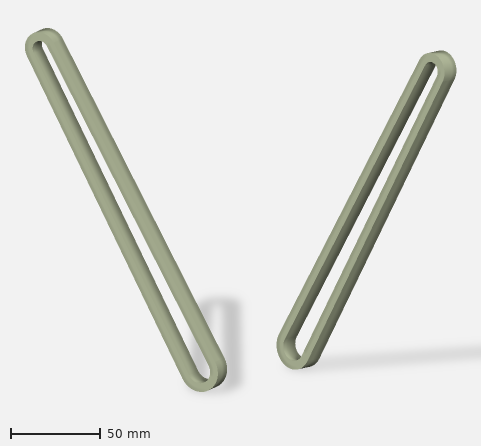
import cadquery as cq
import math

overall_width = 125.5
overall_height = 193.8
thickness = 10.0

upper_radius = 10.0
lower_radius = 12.5
wall = 5.0

upper_x = upper_radius + lower_radius - overall_width
upper_z = overall_height - upper_radius - lower_radius
centre_distance = math.hypot(upper_x, upper_z)
axis_angle = math.atan2(upper_z, upper_x)

tangent_offset = math.acos((lower_radius - upper_radius) / centre_distance)


def point_on_end(center, radius, angle):
    return (center[0] + radius * math.cos(angle), center[1] + radius * math.sin(angle))


def tapered_slot(inset):
    """Solid bounded by two end arcs and their common tangents, moved inward by inset."""
    lower = (0, 0)
    upper = (upper_x, upper_z)
    lower_r = lower_radius - inset
    upper_r = upper_radius - inset
    right_side = axis_angle - tangent_offset
    left_side = axis_angle + tangent_offset
    return (
        cq.Workplane("XZ")
        .moveTo(*point_on_end(lower, lower_r, right_side))
        .lineTo(*point_on_end(upper, upper_r, right_side))
        .threePointArc(
            point_on_end(upper, upper_r, axis_angle),
            point_on_end(upper, upper_r, left_side),
        )
        .lineTo(*point_on_end(lower, lower_r, left_side))
        .threePointArc(
            point_on_end(lower, lower_r, axis_angle + math.pi),
            point_on_end(lower, lower_r, right_side),
        )
        .close()
        .extrude(thickness / 2, both=True)
    )


result = tapered_slot(0).cut(tapered_slot(wall))